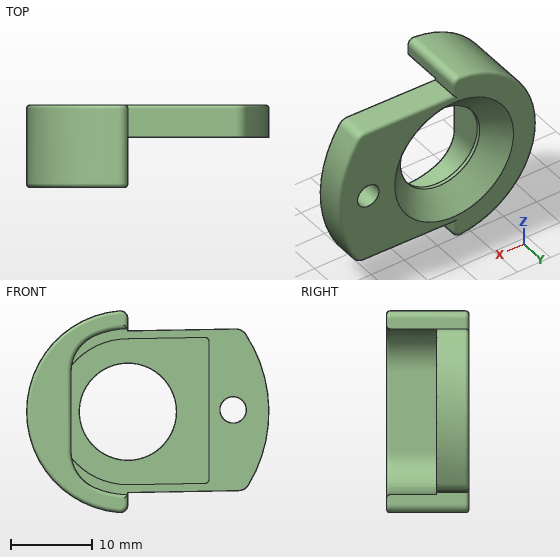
import cadquery as cq
import math


plate_thickness = 4.0
plate_half_height = 10.0
side_tilt = 1.0
end_radius = 17.4
end_corner_radius = 1.5
edge_round = 0.48

hood_depth = 10.2
hood_radius = 12.5
cavity_radius = 10.23
cavity_flat_x = -7.0
cavity_corner_radius = 4.8
hood_corner_radius = 1.0

pocket_radius = 9.0
pocket_end_x = 10.02
pocket_depth = 0.5
pocket_corner_radius = 0.5

window_radius = 5.98
window_lip = 0.5
flare_angle = 45.0

pin_hole_radius = 1.62
pin_hole_x = 13.0

tilt_slope = math.tan(math.radians(side_tilt))
pocket_floor = plate_thickness - pocket_depth


def front_sketch(depth):
    """Workplane facing -Y, set the given distance in front of the back face."""
    return cq.Workplane("XZ", origin=(0, -depth, 0))


def tilted_block(half_height, end_x, start_depth, thickness):
    """Block from X = 0 to end_x whose top and bottom both rise with the side tilt."""
    rise = end_x * tilt_slope
    corners = [(0, -half_height), (end_x, rise - half_height), (end_x, rise + half_height), (0, half_height)]
    return front_sketch(start_depth).polyline(corners).close().extrude(thickness)


def make_tail():
    block = tilted_block(plate_half_height, end_radius + edge_round, 0, plate_thickness)
    end_disc = front_sketch(0).circle(end_radius).extrude(plate_thickness)
    tail = block.intersect(end_disc)
    far_corners = cq.selectors.BoxSelector(
        (pin_hole_x, -hood_depth, -end_radius), (end_radius, hood_depth, end_radius)
    )
    return tail.edges("|Y").edges(far_corners).fillet(end_corner_radius)


def keep_left_half(solid):
    """Part of a solid that lies at X <= 0."""
    left_half = cq.Workplane("XY").box(2 * hood_radius, 2 * hood_depth, 2 * hood_radius)
    return solid.intersect(left_half.translate((-hood_radius, 0, 0)))


def make_hood():
    drum = front_sketch(0).circle(hood_radius).extrude(hood_depth)
    return keep_left_half(drum).edges("|Y and >X").fillet(hood_corner_radius)


def make_cavity():
    depth = hood_depth - plate_thickness
    cavity = front_sketch(plate_thickness).circle(cavity_radius).extrude(depth)
    right_of_flat = front_sketch(plate_thickness).rect(2 * hood_radius, 2 * hood_radius).extrude(depth)
    cavity = cavity.intersect(right_of_flat.translate((cavity_flat_x + hood_radius, 0, 0)))
    return cavity.edges("|Y and <X").fillet(cavity_corner_radius)


def make_pocket():
    disc = front_sketch(pocket_floor).circle(pocket_radius).extrude(pocket_depth)
    inside_hood = make_cavity().translate((0, pocket_depth, 0))
    left = keep_left_half(disc).intersect(inside_hood)
    right = tilted_block(pocket_radius, pocket_end_x, pocket_floor, pocket_depth)
    right = right.edges("|Y and >X").fillet(pocket_corner_radius)
    return left.union(right)


def make_window():
    flare_length = pocket_floor - window_lip
    back_radius = window_radius + flare_length * math.tan(math.radians(flare_angle))
    profile = [
        (0, 0),
        (back_radius, 0),
        (window_radius, -flare_length),
        (window_radius, -plate_thickness),
        (0, -plate_thickness),
    ]
    return cq.Workplane("XY").polyline(profile).close().revolve(360, (0, 0, 0), (0, 1, 0))


def make_pin_hole():
    return (
        front_sketch(0)
        .center(pin_hole_x, pin_hole_x * tilt_slope)
        .circle(pin_hole_radius)
        .extrude(plate_thickness)
    )


body = make_hood().union(make_tail())
body = body.faces(">Y").edges().fillet(edge_round)
body = body.cut(make_cavity())
body = body.faces("<Y").edges().fillet(edge_round)
result = body.cut(make_pocket()).cut(make_window()).cut(make_pin_hole())